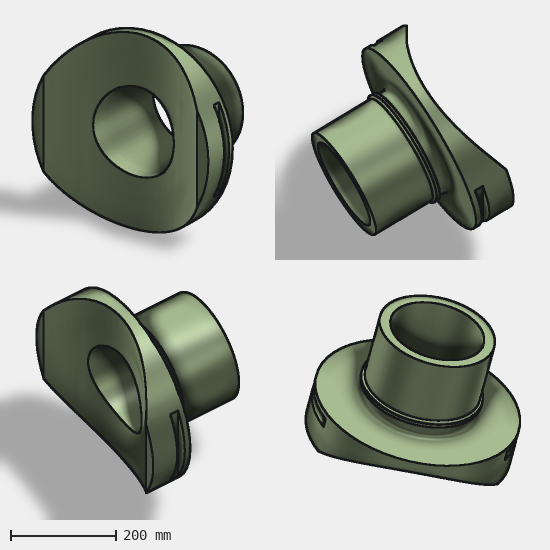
import cadquery as cq
import math

flange_radius = 200.0
flange_thickness = 85.0
total_length = 255.0

pipe_radius = 113.0
bore_radius = 91.5

seat_depth = 61.5
seat_half_width = 174.5
seat_radius = (seat_half_width**2 + seat_depth**2) / (2 * seat_depth)

root_radius = 14.0

bead_radius = 119.0
bead_width = 7.0
bead_start = 113.0

slot_floor = 177.0
slot_start = 55.0
slot_width = 17.5


def disc(radius, start, length):
    """Cylinder along +Y beginning at the given Y."""
    return cq.Workplane("XZ", origin=(0, start, 0)).circle(radius).extrude(-length)


def flared_root():
    """Concave flare that blends the pipe into the flange."""
    outer = pipe_radius + root_radius
    root_top = flange_thickness + root_radius
    bend = root_radius * math.sqrt(0.5)
    return (
        cq.Workplane("XY")
        .moveTo(0, flange_thickness)
        .lineTo(outer, flange_thickness)
        .threePointArc((outer - bend, root_top - bend), (pipe_radius, root_top))
        .lineTo(0, root_top)
        .close()
        .revolve(360, (0, 0, 0), (0, 1, 0))
    )


def bead(start):
    """Ring with a half-round crest."""
    crest_base = bead_radius - bead_width / 2
    return (
        cq.Workplane("XY")
        .moveTo(0, start)
        .lineTo(crest_base, start)
        .threePointArc((bead_radius, start + bead_width / 2), (crest_base, start + bead_width))
        .lineTo(0, start + bead_width)
        .close()
        .revolve(360, (0, 0, 0), (0, 1, 0))
    )


def clamping_slot(side):
    depth = flange_radius - slot_floor
    center_x = side * (slot_floor + depth / 2)
    center_y = slot_start + slot_width / 2
    slot = cq.Workplane("XY").box(depth, slot_width, 2 * flange_radius)
    return slot.translate((center_x, center_y, 0))


def seat_cutter():
    return (
        cq.Workplane("XY")
        .center(0, seat_depth - seat_radius)
        .circle(seat_radius)
        .extrude(flange_radius, both=True)
    )


result = disc(flange_radius, 0, flange_thickness)
result = result.union(disc(pipe_radius, flange_thickness, total_length - flange_thickness))
result = result.union(flared_root())
for bead_index in range(2):
    result = result.union(bead(bead_start + bead_index * bead_width))
result = result.cut(seat_cutter())
result = result.cut(disc(bore_radius, 0, total_length))
for side in (-1, 1):
    result = result.cut(clamping_slot(side))